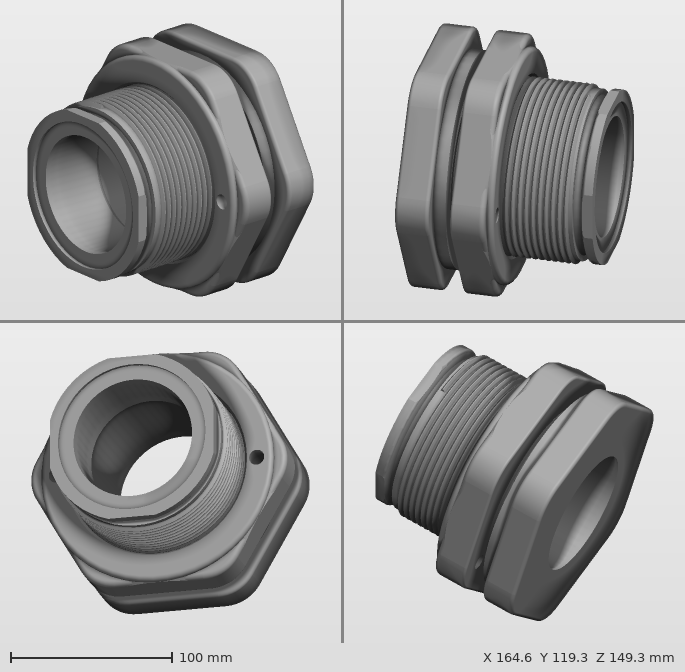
import cadquery as cq
import math


ACROSS_FLATS = 149.3
LENGTH_X = 164.6
HEX_POINTS_DIAMETER = ACROSS_FLATS / math.cos(math.pi / 6)
CORNER_RADIUS = (HEX_POINTS_DIAMETER - LENGTH_X) / (HEX_POINTS_DIAMETER / ACROSS_FLATS - 1) / 2

FITTING_LENGTH = 119.3
HEAD_THICKNESS = 21.7
HEAD_EDGE_FILLET = 2.5
CORE_RADIUS = 108.0 / 2
BORE_RADIUS = 76.2 / 2
REAR_BORE_RADIUS = 79.8 / 2
BORE_STEP_STATION = 75.0
BORE_TAPER_LENGTH = 3.1
MOUTH_RADIUS = 94.8 / 2
MOUTH_DEPTH = 2.5

BARREL_END = 106.5
GROOVE_STATION = 109.3
GROOVE_FLOOR_RADIUS = 48.9
GROOVE_ARC_RADIUS = 3.5
COLLAR_RADIUS = 54.8
COLLAR_CONE_START = 111.0
COLLAR_CONE_END = 112.6
COLLAR_FILLET = 1.8
COLLAR_ACROSS_FLATS = 105.3

CREST_RADIUS = 112.6 / 2
THREAD_PITCH = 4.23
THREAD_TURNS = 18
THREAD_END = 103.5
CREST_WIDTH = 0.5
THREAD_BASE_WIDTH = 3.8
THREAD_ROOT_OVERLAP = 0.3

GASKET_THICKNESS = 7.7
GASKET_RADIUS = 137.6 / 2
GASKET_HOLE_RADIUS = 115.9 / 2

NUT_STATION = 35.4
NUT_HEX_THICKNESS = 21.9
NUT_BACK_FILLET = 1.6
NUT_FRONT_FILLET = 3.3
NUT_BLEND_RADIUS = 77.7
FLANGE_HEIGHT = 4.0
FLANGE_RADIUS = ACROSS_FLATS / 2
FLANGE_FILLET = 3.0
NUT_BORE_RADIUS = 113.2 / 2
NUT_BORE_MOUTH_RADIUS = 116.4 / 2
SPANNER_HOLE_DIAMETER = 9.7
SPANNER_HOLE_SPACING = 128.7


def plane_at(station):
    """Workplane across the Y axis; its normal points toward -Y."""
    return cq.Workplane("XZ", origin=(0, -station, 0))


def disc(station, thickness, radius):
    return plane_at(station).circle(radius).extrude(thickness)


def cone(station, length, back_radius, front_radius):
    return cq.Workplane(cq.Solid.makeCone(back_radius, front_radius, length,
                                          pnt=cq.Vector(0, -station, 0), dir=cq.Vector(0, -1, 0)))


def rounded_hexagon(station, thickness):
    """Hexagonal prism with points on +X and -X and rounded corners."""
    prism = plane_at(station).polygon(6, HEX_POINTS_DIAMETER).extrude(thickness)
    return prism.edges("|Y").fillet(CORNER_RADIUS)


def make_barrel():
    """Core, neck groove and end collar turned about Y, with four flats on the collar."""
    def groove_radius(station):
        offset = station - GROOVE_STATION
        return GROOVE_FLOOR_RADIUS + GROOVE_ARC_RADIUS - math.sqrt(GROOVE_ARC_RADIUS**2 - offset**2)

    fillet_centre_radius = COLLAR_RADIUS - COLLAR_FILLET
    fillet_centre_station = COLLAR_CONE_END + COLLAR_FILLET
    fillet_reach = COLLAR_FILLET * math.sqrt(0.5)

    barrel = (
        cq.Workplane("XY")
        .lineTo(CORE_RADIUS, 0)
        .lineTo(CORE_RADIUS, -BARREL_END)
        .lineTo(groove_radius(BARREL_END), -BARREL_END)
        .threePointArc(
            (GROOVE_FLOOR_RADIUS, -GROOVE_STATION),
            (groove_radius(COLLAR_CONE_START), -COLLAR_CONE_START),
        )
        .lineTo(fillet_centre_radius, -COLLAR_CONE_END)
        .threePointArc(
            (fillet_centre_radius + fillet_reach, -(fillet_centre_station - fillet_reach)),
            (COLLAR_RADIUS, -fillet_centre_station),
        )
        .lineTo(COLLAR_RADIUS, -FITTING_LENGTH)
        .lineTo(0, -FITTING_LENGTH)
        .close()
        .revolve(360, (0, 0, 0), (0, 1, 0))
    )
    flats = plane_at(BARREL_END).rect(COLLAR_ACROSS_FLATS, COLLAR_ACROSS_FLATS)
    collar_envelope = flats.extrude(FITTING_LENGTH - BARREL_END)
    return barrel.intersect(collar_envelope.union(disc(0, BARREL_END, COLLAR_RADIUS)))


def make_thread():
    """Left-hand helical ridge that starts and ends at the top of the barrel."""
    base_radius = CORE_RADIUS - THREAD_ROOT_OVERLAP
    helix_height = THREAD_PITCH * THREAD_TURNS
    helix = cq.Wire.makeHelix(THREAD_PITCH, helix_height, base_radius, lefthand=True)
    ridge = (
        cq.Workplane("XZ")
        .moveTo(base_radius, -THREAD_BASE_WIDTH / 2)
        .lineTo(CREST_RADIUS, -CREST_WIDTH / 2)
        .lineTo(CREST_RADIUS, CREST_WIDTH / 2)
        .lineTo(base_radius, THREAD_BASE_WIDTH / 2)
        .close()
        .sweep(cq.Workplane(helix), isFrenet=True)
    )
    return (
        ridge.rotate((0, 0, 0), (0, 0, 1), 90)
        .rotate((0, 0, 0), (1, 0, 0), 90)
        .translate((0, -(THREAD_END - helix_height), 0))
    )


def make_fitting():
    head = rounded_hexagon(0, HEAD_THICKNESS).faces("<Y or >Y").edges().fillet(HEAD_EDGE_FILLET)
    rear_bore_depth = BORE_STEP_STATION - BORE_TAPER_LENGTH
    return (
        make_barrel()
        .union(make_thread())
        .union(head)
        .cut(disc(0, FITTING_LENGTH, BORE_RADIUS))
        .cut(disc(0, rear_bore_depth, REAR_BORE_RADIUS))
        .cut(cone(rear_bore_depth, BORE_TAPER_LENGTH, REAR_BORE_RADIUS, BORE_RADIUS))
        .cut(disc(FITTING_LENGTH - MOUTH_DEPTH, MOUTH_DEPTH, MOUTH_RADIUS))
    )


def make_gasket():
    ring = plane_at(HEAD_THICKNESS).circle(GASKET_RADIUS).circle(GASKET_HOLE_RADIUS)
    return ring.extrude(GASKET_THICKNESS)


def make_nut():
    hex_front = NUT_STATION + NUT_HEX_THICKNESS
    nut_front = hex_front + FLANGE_HEIGHT
    blend_start = hex_front - NUT_FRONT_FILLET

    hexagon = rounded_hexagon(NUT_STATION, NUT_HEX_THICKNESS)
    blend = cone(blend_start, NUT_FRONT_FILLET, NUT_BLEND_RADIUS, FLANGE_RADIUS).intersect(hexagon)
    hexagon = hexagon.faces("<Y").edges().fillet(NUT_FRONT_FILLET)
    hexagon = hexagon.faces(">Y").edges().fillet(NUT_BACK_FILLET)
    flange = disc(hex_front, FLANGE_HEIGHT, FLANGE_RADIUS).faces("<Y").edges().fillet(FLANGE_FILLET)

    bore_chamfer = NUT_BORE_MOUTH_RADIUS - NUT_BORE_RADIUS
    nut_thickness = nut_front - NUT_STATION
    spanner_holes = (
        plane_at(NUT_STATION)
        .rarray(SPANNER_HOLE_SPACING, 1.6, 2, 1)
        .circle(SPANNER_HOLE_DIAMETER / 2)
        .extrude(nut_thickness)
    )
    return (
        hexagon.union(blend)
        .union(flange)
        .cut(disc(NUT_STATION, nut_thickness, NUT_BORE_RADIUS))
        .cut(cone(nut_front - bore_chamfer, bore_chamfer, NUT_BORE_RADIUS, NUT_BORE_MOUTH_RADIUS))
        .cut(spanner_holes)
    )


fitting = make_fitting()
gasket = make_gasket()
nut = make_nut()

result = cq.Compound.makeCompound([fitting.val(), gasket.val(), nut.val()])